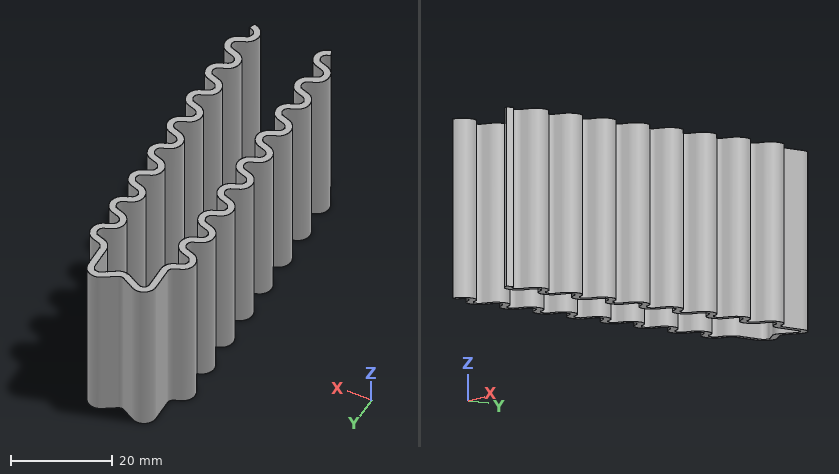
import cadquery as cq
import math

height = 36.0
thickness = 1.5
overall_length = 78.5
overall_width = 23.0

bend_radius = 2.0
leg_half_spacing = 6.75
wave_count = 8
wave_run = 68.0
notch_depth = 2.2

half_thickness = thickness / 2
half_pitch = wave_run / wave_count / 2
outer_crest_x = overall_width / 2 - half_thickness
wave_middle_x = (leg_half_spacing + outer_crest_x) / 2
crown_y = overall_length / 2

LEFT = 1
RIGHT = -1
LEVEL = 0
DOWN = -90


def tangent_heading(left_center, right_center):
    """Heading of the straight stretch from a left-hand bend into a right-hand bend."""
    dx = right_center[0] - left_center[0]
    dy = right_center[1] - left_center[1]
    lean = math.asin(2 * bend_radius / math.hypot(dx, dy))
    return math.degrees(math.atan2(dy, dx) + lean)


def polar_point(center, radius, angle):
    """Point at a radius and an angle in degrees around a centre."""
    x, y = center
    return (
        x + radius * math.cos(math.radians(angle)),
        y + radius * math.sin(math.radians(angle)),
    )


inner_center_x = leg_half_spacing + bend_radius
outer_center_x = outer_crest_x - bend_radius
flank_heading = tangent_heading((inner_center_x, 0), (outer_center_x, -half_pitch))
return_heading = 2 * DOWN - flank_heading

end_center_y = -crown_y + half_thickness * math.cos(math.radians(flank_heading))
end_center = (wave_middle_x, end_center_y)
wave_start_y = end_center_y + half_pitch / 2 + wave_run

notch_center = (0, crown_y - notch_depth - half_thickness + bend_radius)
corner_center = (leg_half_spacing - bend_radius, crown_y - half_thickness - bend_radius)
crown_heading = tangent_heading(notch_center, corner_center)


def half_strip_bends():
    """Bends from the notch to the free end: centre, turn, start heading, end heading."""
    bends = [
        (notch_center, LEFT, LEVEL, crown_heading),
        (corner_center, RIGHT, crown_heading, DOWN),
        ((inner_center_x, wave_start_y), LEFT, DOWN, flank_heading),
    ]
    for wave in range(wave_count):
        outer_y = wave_start_y - (2 * wave + 1) * half_pitch
        inner_y = outer_y - half_pitch
        bends.append(((outer_center_x, outer_y), RIGHT, flank_heading, return_heading))
        bends.append(((inner_center_x, inner_y), LEFT, return_heading, flank_heading))
    return bends


def bend_point(bend, heading, offset):
    """Point of a bend at a heading, `offset` to the left of the middle line."""
    center, turn, _, _ = bend
    return polar_point(center, bend_radius - turn * offset, heading - turn * 90)


def add_bend(outline, bend, offset, first, last):
    """Continue the outline straight to a bend, then around it between two headings."""
    start = bend_point(bend, first, offset)
    middle = bend_point(bend, (first + last) / 2, offset)
    end = bend_point(bend, last, offset)
    return outline.lineTo(*start).threePointArc(middle, end)


def half_strip():
    """Right half of the strip, from the symmetry plane to the free end."""
    bends = half_strip_bends()
    outline = cq.Workplane("XY").workplane(offset=-height / 2)
    outline = outline.moveTo(*bend_point(bends[0], LEVEL, -half_thickness))
    for bend in bends:
        _, _, start_heading, end_heading = bend
        outline = add_bend(outline, bend, half_thickness, start_heading, end_heading)
    for offset in (half_thickness, -half_thickness):
        outline = outline.lineTo(*polar_point(end_center, offset, flank_heading + 90))
    for bend in reversed(bends):
        _, _, start_heading, end_heading = bend
        outline = add_bend(outline, bend, -half_thickness, end_heading, start_heading)
    return outline.close().extrude(height)


right_half = half_strip()
result = right_half.union(right_half.mirror("YZ")).clean()